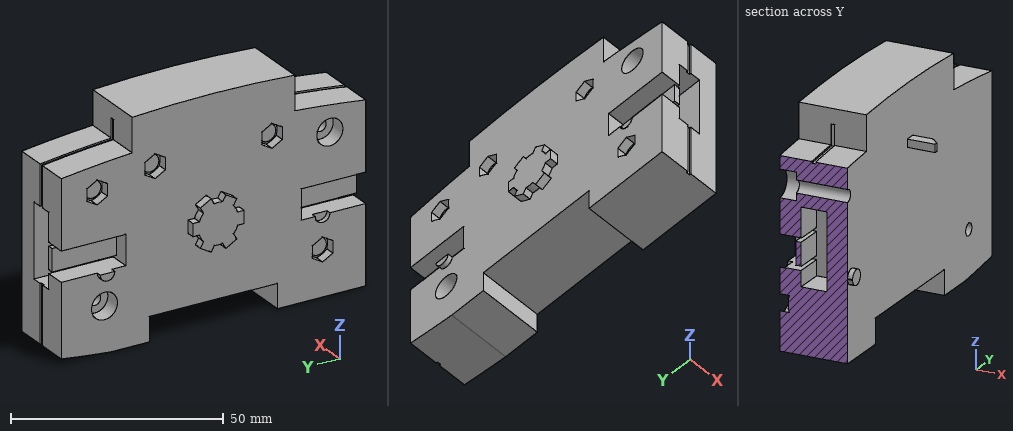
import cadquery as cq
import math


length = 84.0
thickness = 18.0
height = 60.5
half_length = length / 2
tab_half_width = 22.4
top_radius = 331.8
shoulder_radius = 322.6
shoulder_crown = 51.2
corner_relief = 1.5
base_notch_half_width = 17.6
base_notch_height = 6.6

seam_start = 8.6
seam_width = 1.0
seam_depth = 0.4
seam_top = 55.7

slot_length = 17.8
slot_bottom = 21.5
slot_height = 8.15
slot_depth = 5.7
rail_height = 6.1
rail_thickness = 1.5
chamber_width = 6.7
chamber_bottom = 17.4
chamber_height = 20.1

pin_radius = 2.0
pin_length = 1.35
pin_y = 30.1
pin_z = slot_bottom

hex_flats = 5.6
hex_depth = 2.7
screw_face_diameter = 4.7
screw_cone_height = 0.5
lower_screw_z = 12.4
upper_screw_z = 42.5
upper_screw_y = 32.1
tab_screw_y = 16.1
tab_screw_z = 45.45
hole_diameter = 3.2
counterbore_diameter = 7.1
counterbore_depth = 4.4

star_z = 27.5
star_core_radius = 5.55
star_tip_radius = 7.05
star_tooth_width = 3.45
star_tooth_count = 6
star_length = 2.3

lever_length = 7.4
lever_width = 2.85
lever_bottom = 44.2
lever_thickness = 2.1
lever_chamfer = 2.0


def arc_drop(y, radius):
    """Drop of an arc centred on Y = 0 below its crown."""
    return radius - math.sqrt(radius**2 - y**2)


def shoulder_point(y, offset=0.0):
    return (y, shoulder_crown - arc_drop(y, shoulder_radius) - offset)


def box(x, y, z):
    """Box from three (start, end) ranges."""
    size = [end - start for start, end in (x, y, z)]
    return cq.Workplane("XY").box(*size, centered=False).translate((x[0], y[0], z[0]))


def rod(radius, x_start, x_end, y, z):
    """Cylinder along X."""
    return cq.Workplane("YZ", origin=(x_start, y, z)).circle(radius).extrude(x_end - x_start)


def housing():
    relief_crown = corner_relief - arc_drop(half_length, shoulder_radius)
    relief_start = math.sqrt(shoulder_radius**2 - (shoulder_radius + relief_crown) ** 2)
    relief_middle = (half_length + relief_start) / 2
    shoulder_middle = (half_length + tab_half_width) / 2
    tab_corner_z = height - arc_drop(tab_half_width, top_radius)
    return (
        cq.Workplane("YZ")
        .moveTo(-half_length, 0)
        .lineTo(-base_notch_half_width, 0)
        .lineTo(-base_notch_half_width, base_notch_height)
        .lineTo(base_notch_half_width, base_notch_height)
        .lineTo(base_notch_half_width, 0)
        .lineTo(relief_start, 0)
        .threePointArc(
            (relief_middle, relief_crown + arc_drop(relief_middle, shoulder_radius)),
            (half_length, corner_relief),
        )
        .lineTo(*shoulder_point(half_length))
        .threePointArc(shoulder_point(shoulder_middle), shoulder_point(tab_half_width))
        .lineTo(tab_half_width, tab_corner_z)
        .threePointArc((0, height), (-tab_half_width, tab_corner_z))
        .lineTo(*shoulder_point(-tab_half_width))
        .threePointArc(shoulder_point(-shoulder_middle), shoulder_point(-half_length))
        .close()
        .extrude(thickness)
    )


def seam_groove():
    """Groove at the -Y end: up the end face, along the shoulder and up the side of the tab."""
    end_floor = seam_depth - half_length
    tab_floor = seam_depth - tab_half_width
    middle = (end_floor + tab_floor) / 2
    return (
        cq.Workplane("YZ", origin=(seam_start, 0, 0))
        .moveTo(-half_length, 0)
        .lineTo(end_floor, 0)
        .lineTo(*shoulder_point(end_floor, seam_depth))
        .threePointArc(shoulder_point(middle, seam_depth), shoulder_point(tab_floor, seam_depth))
        .lineTo(tab_floor, seam_top)
        .lineTo(-half_length, seam_top)
        .close()
        .extrude(seam_width)
    )


def terminal_slot():
    """Slot and wire chamber at the -Y end. A rail held by the inner end of the slot is left standing."""
    y_range = (-half_length, slot_length - half_length)
    rail_bottom = slot_bottom + (slot_height - rail_height) / 2
    slot = box((-pin_length, slot_depth), y_range, (slot_bottom, slot_bottom + slot_height))
    rail = box((slot_depth - rail_thickness, slot_depth), y_range, (rail_bottom, rail_bottom + rail_height))
    chamber = box(
        (slot_depth, slot_depth + chamber_width), y_range, (chamber_bottom, chamber_bottom + chamber_height)
    )
    return slot.cut(rail).union(chamber)


def hex_socket(y, z):
    """Hexagonal recess around the conical end of a screw."""
    corner_diameter = hex_flats / math.cos(math.pi / 6)
    recess = (
        cq.Workplane("YZ", origin=(0, y, z))
        .transformed(rotate=(0, 0, 90))
        .polygon(6, corner_diameter)
        .extrude(hex_depth)
    )
    cone = cq.Solid.makeCone(
        screw_face_diameter / 2,
        corner_diameter / 2,
        screw_cone_height,
        cq.Vector(hex_depth - screw_cone_height, y, z),
        cq.Vector(1, 0, 0),
    )
    return recess.cut(cq.Workplane(cone))


def drive_star():
    star = rod(star_core_radius, -star_length, 0, 0, star_z)
    half_tooth = star_tooth_width / 2
    tooth = box((-star_length, 0), (0, star_tip_radius), (star_z - half_tooth, star_z + half_tooth))
    for index in range(star_tooth_count):
        angle = index * 360 / star_tooth_count
        star = star.union(tooth.rotate((0, 0, star_z), (1, 0, star_z), angle))
    return star


def lever():
    half_width = lever_width / 2
    tip = thickness + lever_length
    return (
        cq.Workplane("XY", origin=(0, 0, lever_bottom))
        .moveTo(thickness, -half_width)
        .lineTo(tip, -half_width)
        .lineTo(tip, half_width - lever_chamfer)
        .lineTo(tip - lever_chamfer, half_width)
        .lineTo(thickness, half_width)
        .close()
        .extrude(lever_thickness)
    )


body = housing()

body = body.union(rod(pin_radius, -pin_length, 0, pin_y, pin_z))
body = body.cut(rod(pin_radius, 0, pin_length, -pin_y, pin_z))

for end_cut in (seam_groove(), terminal_slot()):
    body = body.cut(end_cut).cut(end_cut.mirror("XZ"))

for y, z in (
    (upper_screw_y, upper_screw_z),
    (tab_screw_y, tab_screw_z),
    (-tab_screw_y, tab_screw_z),
    (-pin_y, lower_screw_z),
):
    body = body.cut(hex_socket(y, z))

for y, z in ((-upper_screw_y, upper_screw_z), (pin_y, lower_screw_z)):
    body = body.cut(rod(hole_diameter / 2, 0, thickness, y, z))
    body = body.cut(rod(counterbore_diameter / 2, 0, counterbore_depth, y, z))

body = body.union(rod(pin_radius, thickness, thickness + pin_length, -pin_y, pin_z))
result = body.union(drive_star()).union(lever())